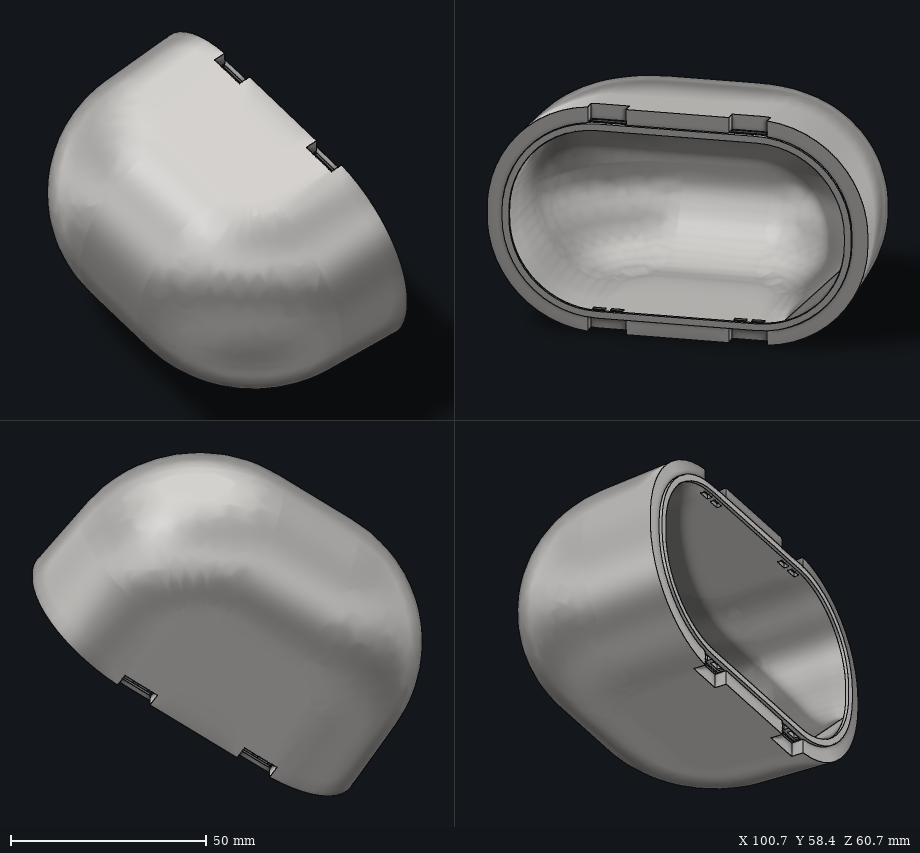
import cadquery as cq
import math

rim_width = 100.69
rim_height = 60.69
overall_depth = 58.4
lip_length = 0.9
body_depth = overall_depth - lip_length
draft = math.radians(2)

corner_radius = 38.0
edge_radius = 29.2

lip_inset = 4.2
cavity_inset = 6.0

notch_spacing = 37.3
notch_width = 10.1
notch_depth = 3.4
recess_width = 9.4
recess_top = -0.4
recess_bottom = -2.8
recess_sink = 0.5
window_width = 7.9
window_top = -0.75
window_bottom = -2.1
post_width = 1.5


def plan_outline(inset):
    """Plan of the drafted body: tapering sides, round front corners, flat front."""
    half_rim = rim_width / 2 - inset / math.cos(draft)
    radius = corner_radius - inset
    front = -(body_depth - inset)
    arc_center_y = front + radius
    side_y = arc_center_y - radius * math.sin(draft)
    side_x = half_rim + side_y * math.tan(draft)
    arc_center_x = side_x - radius * math.cos(draft)
    arc_angle = math.radians(45) - draft / 2
    middle_x = arc_center_x + radius * math.sin(arc_angle)
    middle_y = arc_center_y - radius * math.cos(arc_angle)
    return (
        cq.Workplane("XY")
        .moveTo(-half_rim, 0)
        .lineTo(-side_x, side_y)
        .threePointArc((-middle_x, middle_y), (-arc_center_x, front))
        .lineTo(arc_center_x, front)
        .threePointArc((middle_x, middle_y), (side_x, side_y))
        .lineTo(half_rim, 0)
        .close()
    )


def rounded_body(inset):
    """Solid body offset inwards by the inset, with drafted top and bottom and rounded edges."""
    front = -(body_depth - inset)
    rim_z = rim_height / 2 - inset / math.cos(draft)
    front_z = rim_z + front * math.tan(draft)
    drafted_slab = (
        cq.Workplane("YZ")
        .polyline([(0, -rim_z), (front, -front_z), (front, front_z), (0, rim_z)])
        .close()
        .extrude(rim_width / 2, both=True)
    )
    return (
        plan_outline(inset)
        .extrude(rim_height / 2, both=True)
        .intersect(drafted_slab)
        .faces(">Z or <Z")
        .edges("not >Y")
        .fillet(edge_radius - inset)
    )


def rim_prism(inset, start_y, end_y):
    """Straight prism along Y with the shape of the rim offset inwards by the inset."""
    width = rim_width - 2 * inset
    height = rim_height - 2 * inset
    return (
        cq.Workplane("XZ", origin=(0, end_y, 0))
        .rect(width, height)
        .extrude(end_y - start_y)
        .edges("|Y")
        .fillet(edge_radius - inset)
    )


def through_box(center_x, width, bottom_y, top_y):
    """Box that spans the full height of the part."""
    return (
        cq.Workplane("XY", origin=(center_x, (bottom_y + top_y) / 2, 0))
        .box(width, top_y - bottom_y, rim_height)
    )


def notch_cut(center_x):
    """Notch in the outer wall, down to the surface of the lip."""
    core = rim_prism(lip_inset, -notch_depth, lip_length)
    return through_box(center_x, notch_width, -notch_depth, 0).cut(core)


def recess_cut(center_x):
    """Shallow recess in the top of the lip, bevelled on the rim side."""
    surface_z = rim_height / 2 - lip_inset
    floor_z = surface_z - recess_sink
    profile = [
        (recess_top, rim_height / 2),
        (recess_top, surface_z),
        (window_top, floor_z),
        (recess_bottom, floor_z),
        (recess_bottom, rim_height / 2),
    ]
    return (
        cq.Workplane("YZ", origin=(center_x, 0, 0))
        .polyline(profile)
        .close()
        .extrude(recess_width / 2, both=True)
    )


def window_cut(center_x):
    """Two window openings through the walls, separated by a post."""
    window = through_box(center_x, window_width, window_bottom, window_top)
    return window.cut(through_box(center_x, post_width, window_bottom, window_top))


body = rounded_body(0)
lip = rim_prism(lip_inset, -notch_depth, lip_length)
cavity = rounded_body(cavity_inset).union(rim_prism(cavity_inset, 0, lip_length))

cover = body.union(lip).cut(cavity)
for side in (-1, 1):
    latch_x = side * notch_spacing / 2
    recess = recess_cut(latch_x)
    cover = cover.cut(notch_cut(latch_x)).cut(window_cut(latch_x))
    cover = cover.cut(recess).cut(recess.mirror("XY"))

result = cover